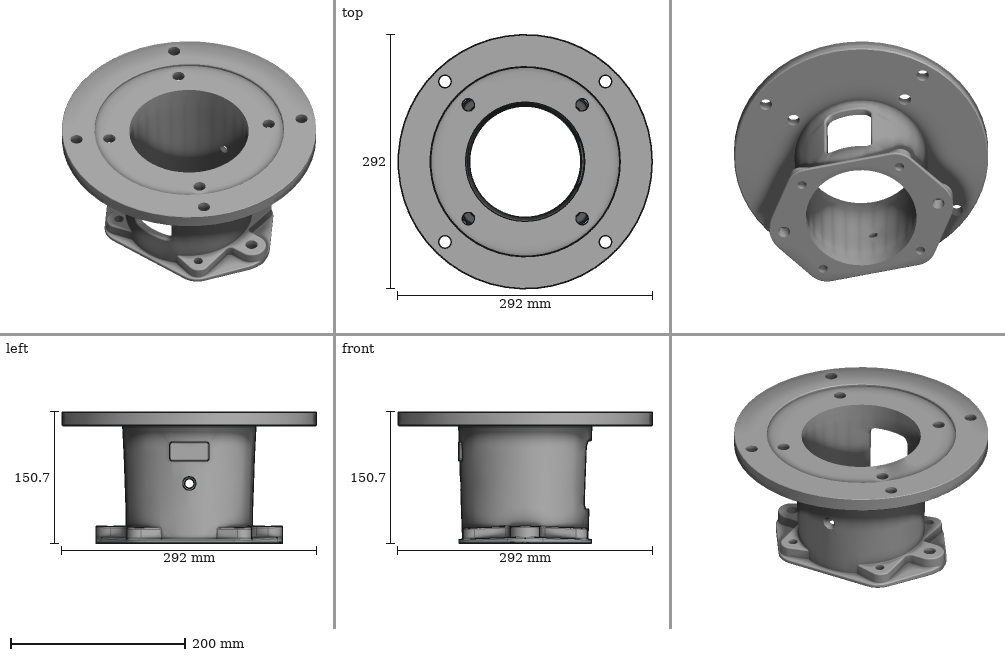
import cadquery as cq
import math

TOTAL_HEIGHT = 150.7

FLANGE_RADIUS = 146.0
FLANGE_THICKNESS = 16.0
FLANGE_LOWER_CHAMFER = 1.5
FLANGE_UPPER_CHAMFER = 0.5
PILOT_RADIUS = 108.5
PILOT_DEPTH = 3.5
PILOT_CHAMFER = 1.0
FLANGE_HOLE_RADIUS = 7.0
OUTER_HOLE_CIRCLE = 130.3
INNER_HOLE_CIRCLE = 92.3

TUBE_TOP_RADIUS = 76.5
TUBE_BOTTOM_RADIUS = 72.0
TUBE_COLLAR_HEIGHT = 1.8
BORE_TOP_RADIUS = 68.5
BORE_BOTTOM_RADIUS = 63.7

DRAFT_ANGLE = 2.0
CASTING_FILLET = 1.2

PLATE_THICKNESS = 7.3
PLATE_EDGE_FILLET = 1.5
PLATE_HALF_WIDTH = 76.2
PLATE_HALF_LENGTH = 107.2
PLATE_CORNER_RADIUS = 25.0
PLATE_END_RADIUS = 37.5

PAD_HEIGHT = 20.0
PAD_EDGE_FILLET = 1.5
CORNER_PAD_RADIUS = 12.9
CORNER_PAD_CENTER = 58.5
CORNER_PAD_INNER_X = 64.5
CORNER_PAD_INNER_Y = 30.7
CORNER_HOLE_OFFSET = 57.3
CORNER_HOLE_RADIUS = 5.3
EAR_HOLE_OFFSET = 90.5
EAR_HOLE_RADIUS = 7.0
EAR_NECK_FILLET = 5.8

WINDOW_WIDTH = 52.0
WINDOW_BOTTOM = 39.7
WINDOW_TOP = 117.5
WINDOW_CORNER_RADIUS = 8.8
WINDOW_LIP_FILLET = 2.0

SIDE_HOLE_Z = 68.5
SIDE_HOLE_RADIUS = 5.3
SIDE_HOLE_RIM_RADIUS = 8.0
LABEL_WIDTH = 45.0
LABEL_BOTTOM = 94.5
LABEL_TOP = 116.3
LABEL_FACE_X = 76.5
LABEL_CORNER_RADIUS = 3.0
LABEL_EDGE_FILLET = 1.0

FLANGE_BOTTOM = TOTAL_HEIGHT - FLANGE_THICKNESS
TAPER_HEIGHT = FLANGE_BOTTOM - TUBE_COLLAR_HEIGHT
EAR_RADIUS = PLATE_HALF_LENGTH - EAR_HOLE_OFFSET
PAD_OUTER_Y = CORNER_PAD_CENTER + CORNER_PAD_RADIUS

TOUCH_DISTANCE = 0.003



def cone(bottom_radius, top_radius, height, base_z=0):
    """Truncated cone standing at height base_z."""
    return (
        cq.Workplane("XY")
        .workplane(offset=base_z)
        .circle(bottom_radius)
        .workplane(offset=height)
        .circle(top_radius)
        .loft()
    )


def disc(radius, height, base_z=0):
    return cq.Workplane("XY").workplane(offset=base_z).circle(radius).extrude(height)


def square_pattern_holes(offset, radius, depth, base_z=0):
    """Four drills at (+-offset, +-offset)."""
    return (
        cq.Workplane("XY")
        .workplane(offset=base_z)
        .rect(2 * offset, 2 * offset, forConstruction=True)
        .vertices()
        .circle(radius)
        .extrude(depth)
    )


def rounded_block(width, bottom, top, length, corner_radius):
    """Block from X = 0 to X = length with its four long edges rounded."""
    return (
        cq.Workplane("YZ")
        .center(0, (top + bottom) / 2)
        .rect(width, top - bottom)
        .extrude(length)
        .edges("|X")
        .fillet(corner_radius)
    )


def roof(ridge_height):
    """Block under two drafted planes that meet in a ridge along Y."""
    eave_height = ridge_height - FLANGE_RADIUS * math.tan(math.radians(DRAFT_ANGLE))
    return (
        cq.Workplane("XZ")
        .polyline([
            (-FLANGE_RADIUS, 0),
            (FLANGE_RADIUS, 0),
            (FLANGE_RADIUS, eave_height),
            (0, ridge_height),
            (-FLANGE_RADIUS, eave_height),
        ])
        .close()
        .extrude(FLANGE_RADIUS, both=True)
    )


def lies_on(edge, *shapes):
    """True when the middle of an edge touches every one of the shapes."""
    middle = cq.Vertex.makeVertex(*edge.positionAt(0.5).toTuple())
    return all(shape.val().distance(middle) < TOUCH_DISTANCE for shape in shapes)



def make_flange():
    flange = disc(FLANGE_RADIUS, FLANGE_THICKNESS, FLANGE_BOTTOM)
    flange = flange.faces("<Z").edges().chamfer(FLANGE_LOWER_CHAMFER)
    flange = flange.faces(">Z").edges().chamfer(FLANGE_UPPER_CHAMFER)
    pilot = disc(PILOT_RADIUS, PILOT_DEPTH, TOTAL_HEIGHT - PILOT_DEPTH)
    pilot_rim = cone(PILOT_RADIUS, PILOT_RADIUS + PILOT_CHAMFER, PILOT_CHAMFER, TOTAL_HEIGHT - PILOT_CHAMFER)
    return flange.cut(pilot).cut(pilot_rim)



def make_plate():
    """Plate whose straight slanted edges are tangent to its corner and end arcs."""
    corner = PLATE_HALF_WIDTH - PLATE_CORNER_RADIUS
    end_center = PLATE_HALF_LENGTH - PLATE_END_RADIUS
    rise = end_center - corner
    radius_step = PLATE_END_RADIUS - PLATE_CORNER_RADIUS
    slant = math.atan2(rise, corner) + math.asin(radius_step / math.hypot(corner, rise))
    mid_arc = (slant + math.pi / 2) / 2

    def on_corner(angle, sx, sy):
        x = corner + PLATE_CORNER_RADIUS * math.sin(angle)
        y = corner + PLATE_CORNER_RADIUS * math.cos(angle)
        return (sx * x, sy * y)

    def on_end(sx, sy):
        x = PLATE_END_RADIUS * math.sin(slant)
        y = end_center + PLATE_END_RADIUS * math.cos(slant)
        return (sx * x, sy * y)

    outline = (
        cq.Workplane("XY")
        .moveTo(PLATE_HALF_WIDTH, -corner)
        .lineTo(PLATE_HALF_WIDTH, corner)
        .threePointArc(on_corner(mid_arc, 1, 1), on_corner(slant, 1, 1))
        .lineTo(*on_end(1, 1))
        .threePointArc((0, PLATE_HALF_LENGTH), on_end(-1, 1))
        .lineTo(*on_corner(slant, -1, 1))
        .threePointArc(on_corner(mid_arc, -1, 1), (-PLATE_HALF_WIDTH, corner))
        .lineTo(-PLATE_HALF_WIDTH, -corner)
        .threePointArc(on_corner(mid_arc, -1, -1), on_corner(slant, -1, -1))
        .lineTo(*on_end(-1, -1))
        .threePointArc((0, -PLATE_HALF_LENGTH), on_end(1, -1))
        .lineTo(*on_corner(slant, 1, -1))
        .threePointArc(on_corner(mid_arc, 1, -1), (PLATE_HALF_WIDTH, -corner))
        .close()
    )
    plate = outline.extrude(PLATE_THICKNESS).intersect(roof(PLATE_THICKNESS))
    return plate.edges("not (|Z or (|Y and >Z))").fillet(PLATE_EDGE_FILLET)


def make_corner_pad(sx, sy):
    """Round-nosed pad around one corner hole, running back into the tube."""
    dx = CORNER_PAD_INNER_X - CORNER_PAD_CENTER
    dy = CORNER_PAD_INNER_Y - CORNER_PAD_CENTER
    tangent = math.atan2(dy, dx) + math.acos(CORNER_PAD_RADIUS / math.hypot(dx, dy))
    top = math.pi / 2

    def on_nose(angle):
        x = CORNER_PAD_CENTER + CORNER_PAD_RADIUS * math.cos(angle)
        y = CORNER_PAD_CENTER + CORNER_PAD_RADIUS * math.sin(angle)
        return (sx * x, sy * y)

    return (
        cq.Workplane("XY")
        .moveTo(0, 0)
        .lineTo(sx * CORNER_PAD_INNER_X, sy * CORNER_PAD_INNER_Y)
        .lineTo(*on_nose(tangent))
        .threePointArc(on_nose((tangent + top) / 2), on_nose(top))
        .lineTo(0, sy * PAD_OUTER_Y)
        .close()
        .extrude(PAD_HEIGHT)
    )


def make_ear(sy):
    """Round-nosed ear on one plate end, with a concave fillet at each side of its neck."""
    root_x = EAR_RADIUS + EAR_NECK_FILLET
    neck_y = sy * (PAD_OUTER_Y + EAR_NECK_FILLET)
    root_y = sy * PAD_OUTER_Y
    nose_y = sy * EAR_HOLE_OFFSET
    arc_inset = EAR_NECK_FILLET * (1 - math.sqrt(0.5))
    arc_x = EAR_RADIUS + arc_inset
    arc_y = sy * (PAD_OUTER_Y + arc_inset)
    return (
        cq.Workplane("XY")
        .moveTo(-root_x, 0)
        .lineTo(-root_x, root_y)
        .threePointArc((-arc_x, arc_y), (-EAR_RADIUS, neck_y))
        .lineTo(-EAR_RADIUS, nose_y)
        .threePointArc((0, sy * PLATE_HALF_LENGTH), (EAR_RADIUS, nose_y))
        .lineTo(EAR_RADIUS, neck_y)
        .threePointArc((arc_x, arc_y), (root_x, root_y))
        .lineTo(root_x, 0)
        .close()
        .extrude(PAD_HEIGHT)
    )


def make_pads():
    """All corner pads and ears under one drafted top with a rounded rim."""
    pads = make_ear(1).union(make_ear(-1))
    for side_x in (-1, 1):
        for side_y in (-1, 1):
            pads = pads.union(make_corner_pad(side_x, side_y))
    pads = pads.intersect(roof(PAD_HEIGHT))

    def is_rim(edge):
        box = edge.BoundingBox()
        is_ridge = abs(box.xmin) < TOUCH_DISTANCE and abs(box.xmax) < TOUCH_DISTANCE
        return box.zmin > PLATE_THICKNESS and not is_ridge

    return pads.edges().filter(is_rim).fillet(PAD_EDGE_FILLET)


def make_tube():
    taper = cone(TUBE_BOTTOM_RADIUS, TUBE_TOP_RADIUS, TAPER_HEIGHT)
    return taper.union(disc(TUBE_TOP_RADIUS, TUBE_COLLAR_HEIGHT, TAPER_HEIGHT))


def make_lower_casting():
    """Plate, pads and tube with small fillets in their inner corners."""
    plate = make_plate()
    pads = make_pads()
    tube = make_tube()

    def is_inner_corner(edge):
        if abs(edge.Center().y) > EAR_HOLE_OFFSET or edge.Center().z < PLATE_THICKNESS / 2:
            return False
        return lies_on(edge, plate, pads) or lies_on(edge, plate, tube) or lies_on(edge, pads, tube)

    casting = plate.union(pads).union(tube)
    return casting.edges().filter(is_inner_corner).fillet(CASTING_FILLET)



def make_label():
    """Flat name plate standing on the -X side of the tube."""
    block = rounded_block(LABEL_WIDTH, LABEL_BOTTOM, LABEL_TOP, -LABEL_FACE_X, LABEL_CORNER_RADIUS)
    return block.faces("<X").edges().fillet(LABEL_EDGE_FILLET)


def cut_window(solid):
    """Cut the access window and round its outer lip."""
    window = rounded_block(WINDOW_WIDTH, WINDOW_BOTTOM, WINDOW_TOP, FLANGE_RADIUS, WINDOW_CORNER_RADIUS)

    def is_outer_lip(edge):
        middle = edge.positionAt(0.5)
        return math.hypot(middle.x, middle.y) > TUBE_BOTTOM_RADIUS and lies_on(edge, window)

    return solid.cut(window).edges().filter(is_outer_lip).fillet(WINDOW_LIP_FILLET)


def make_side_drill():
    """Drill for the -X wall with a 45 degree countersink at the tube surface."""
    rim_x = TUBE_BOTTOM_RADIUS + (TUBE_TOP_RADIUS - TUBE_BOTTOM_RADIUS) * SIDE_HOLE_Z / TAPER_HEIGHT
    countersink_depth = SIDE_HOLE_RIM_RADIUS - SIDE_HOLE_RADIUS
    return (
        cq.Workplane("XZ")
        .polyline([
            (0, 0),
            (0, SIDE_HOLE_RADIUS),
            (countersink_depth - rim_x, SIDE_HOLE_RADIUS),
            (-rim_x, SIDE_HOLE_RIM_RADIUS),
            (-FLANGE_RADIUS, SIDE_HOLE_RIM_RADIUS),
            (-FLANGE_RADIUS, 0),
        ])
        .close()
        .revolve(360, (0, 0, 0), (1, 0, 0))
        .translate((0, 0, SIDE_HOLE_Z))
    )



body = make_lower_casting().union(make_flange()).union(make_label())

body = body.cut(cone(BORE_BOTTOM_RADIUS, BORE_TOP_RADIUS, TOTAL_HEIGHT))
body = cut_window(body)

for hole_circle in (OUTER_HOLE_CIRCLE, INNER_HOLE_CIRCLE):
    hole_offset = hole_circle * math.sqrt(0.5)
    body = body.cut(square_pattern_holes(hole_offset, FLANGE_HOLE_RADIUS, FLANGE_THICKNESS, FLANGE_BOTTOM))

body = body.cut(square_pattern_holes(CORNER_HOLE_OFFSET, CORNER_HOLE_RADIUS, PAD_HEIGHT))
for ear_y in (-EAR_HOLE_OFFSET, EAR_HOLE_OFFSET):
    body = body.cut(disc(EAR_HOLE_RADIUS, PAD_HEIGHT).translate((0, ear_y, 0)))

result = body.cut(make_side_drill())